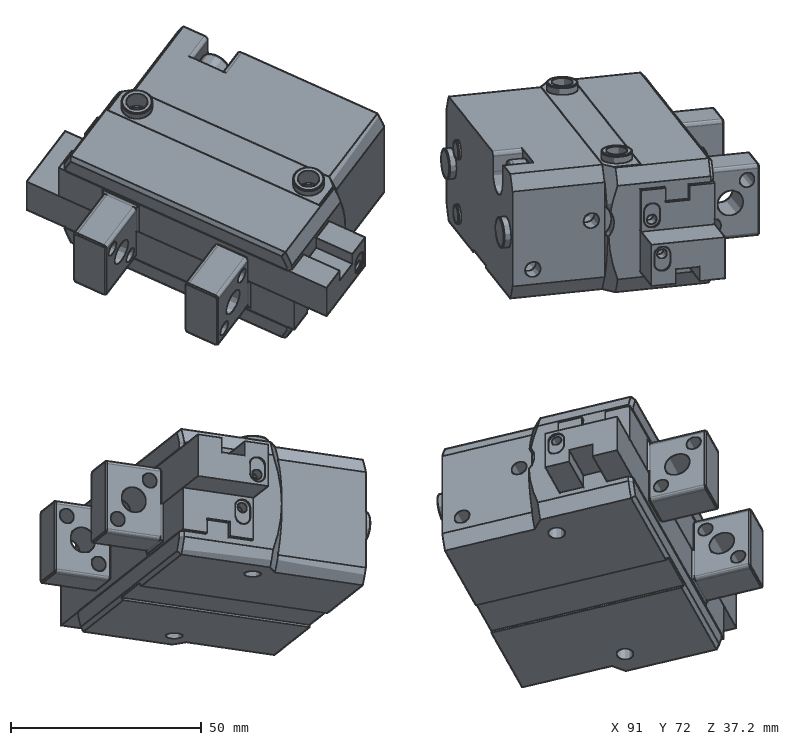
import cadquery as cq
import math


housing_depth = 54.05
half_height = 17.5
front_width = 69.1
rear_width = 63.1
step_y = 28.9
front_turned_radius = 36.95
rear_turned_radius = 34.2
cone_end_y = 29.0
front_chamfer = 1.0
pad_height = 0.1
pad_front_y = 19.3
pad_half_width = 32.4
pad_edge_chamfer = 0.4
bottom_slot_width = 11.8
bottom_slot_depth = 0.6

sleeve_x = 26.0
sleeve_y = 24.1
sleeve_diameter = 8.2
sleeve_bore = 5.55
sleeve_bore_depth = 5.0
sleeve_top_z = 19.7
mounting_hole = 4.4
stud_height = 2.0
rim_chamfer = 0.3
plug_x = 20.0
plug_heights = (6.0, -12.0)
plug_diameter = 5.3
plug_height = 0.8

screw_x = -17.5
screw_z = 12.1
recess_width = 9.1
recess_depth = 8.1
recess_edge_radius = 1.1
screw_head_diameter = 8.55
screw_head_inset = 3.1
screw_head_rounding = 0.7
screw_base_chamfer = 0.5

ports = ((32.6, 2.9), (48.5, -9.1))
port_diameter = 4.2
port_depth = 4.55
passage_diameter = 1.4
passage_depth = 9.1
spot_face_diameter = 10.65
spot_face_rise = 0.2

jaw_long_end = 45.5
jaw_short_end = 35.7
jaw_front_y = 0.2
jaw_back_y = 20.2
jaw_height = 11.6
groove_front_y = 7.0
groove_width = 6.55
groove_depth = 4.0
pocket_y = 17.2
pocket_z = 4.3
pocket_length = 6.7
pocket_width = 4.4
pocket_depth = 0.5
end_hole_z = 3.0
end_hole_diameter = 2.6
end_hole_depth = 3.6

finger_x = 16.9
finger_width = 10.0
finger_height = 20.1
finger_front_y = -15.9
finger_edge_radius = 1.0
finger_tip_chamfer = 0.4
finger_base_chamfer = 0.55
root_radius = 0.55
finger_hole_y = -8.0
finger_hole_diameter = 6.9
dowel_offset_y = 4.55
dowel_offset_z = 6.0
dowel_diameter = 4.0

drill_point_angle = 118.0

UP = (0, 0, 1)
DOWN = (0, 0, -1)
LEFT = (-1, 0, 0)
RIGHT = (1, 0, 0)
BACK = (0, 1, 0)


def box(x_range, y_range, z_range):
    """Block between two limits along each axis."""
    sizes = [high - low for low, high in (x_range, y_range, z_range)]
    corner = (x_range[0], y_range[0], z_range[0])
    return cq.Workplane("XY").box(*sizes, centered=False).translate(corner)


def cylinder(diameter, start, direction, length):
    """Round bar that starts at a point and runs along a direction."""
    solid = cq.Solid.makeCylinder(diameter / 2, length, cq.Vector(*start), cq.Vector(*direction))
    return cq.Workplane("XY").newObject([solid])


def drilled_hole(diameter, depth, start, direction):
    """Cutter for a blind hole with a conical end."""
    radius = diameter / 2
    point_length = radius / math.tan(math.radians(drill_point_angle / 2))
    axis = cq.Vector(*direction)
    tip_base = cq.Vector(*start) + axis * depth
    point = cq.Solid.makeCone(radius, 0, point_length, tip_base, axis)
    return cylinder(diameter, start, direction, depth).union(cq.Workplane("XY").newObject([point]))


def housing_blank():
    """Wide front block and narrower rear block with corners turned about the Y axis."""
    z_range = (-half_height, half_height)
    front = box((-front_width / 2, front_width / 2), (0, step_y), z_range)
    rear = box((-rear_width / 2, rear_width / 2), (0, housing_depth), z_range)
    cone_start_y = cone_end_y - (front_turned_radius - rear_turned_radius)
    turned = (
        cq.Workplane("XY")
        .polyline([
            (0, 0),
            (front_turned_radius, 0),
            (front_turned_radius, cone_start_y),
            (rear_turned_radius, cone_end_y),
            (rear_turned_radius, housing_depth),
            (0, housing_depth),
        ])
        .close()
        .revolve(360, (0, 0, 0), (0, 1, 0))
    )
    blank = front.union(rear).union(sleeve_pad()).intersect(turned)
    return blank.faces("<Y").edges().chamfer(front_chamfer)


def jaw_guide():
    """Cutter for the jaw channel, with a tongue left above and below."""
    x_range = (-jaw_long_end, jaw_long_end)
    guide = box(x_range, (0, jaw_back_y), (-jaw_height, jaw_height))
    tongue_y = (groove_front_y, groove_front_y + groove_width)
    for side in (-1, 1):
        z_range = sorted((side * jaw_height, side * (jaw_height - groove_depth)))
        guide = guide.cut(box(x_range, tongue_y, z_range))
    return guide


def sleeve_pad():
    """Slightly raised strip on top of the housing that carries the sleeves."""
    return box(
        (-pad_half_width, pad_half_width),
        (pad_front_y, step_y),
        (0, half_height + pad_height),
    ).edges("|Y and >Z").chamfer(pad_edge_chamfer)


def round_boss(diameter, start, direction, height):
    """Short round boss with a chamfered rim."""
    radius = diameter / 2
    axis = cq.Vector(*direction)
    base = cylinder(diameter, start, direction, height - rim_chamfer)
    rim_start = cq.Vector(*start) + axis * (height - rim_chamfer)
    rim = cq.Solid.makeCone(radius, radius - rim_chamfer, rim_chamfer, rim_start, axis)
    return base.union(cq.Workplane("XY").newObject([rim]))


def screw_recess():
    """Cutter for the round-bottomed recess, open to the back and the top, with rounded upper edges."""
    half_width = recess_width / 2
    flare = half_width + recess_edge_radius
    flare_z = half_height - recess_edge_radius
    return (
        cq.Workplane("XZ", origin=(screw_x, housing_depth, 0))
        .moveTo(-half_width, screw_z)
        .threePointArc((0, screw_z - half_width), (half_width, screw_z))
        .lineTo(half_width, flare_z)
        .radiusArc((flare, half_height), recess_edge_radius)
        .lineTo(-flare, half_height)
        .radiusArc((-half_width, flare_z), recess_edge_radius)
        .close()
        .extrude(recess_depth)
    )


def screw_head():
    """Screw head on the floor of the recess."""
    length = recess_depth - screw_head_inset
    floor_centre = (screw_x, housing_depth - recess_depth, screw_z)
    head = cylinder(screw_head_diameter, floor_centre, BACK, length)
    head = head.faces(">Y").edges().fillet(screw_head_rounding)
    return head.faces("<Y").edges().chamfer(screw_base_chamfer)


def with_bottom_slot(body):
    """Shallow slot along the underside of the housing."""
    half_width = bottom_slot_width / 2
    slot_top = -half_height + bottom_slot_depth
    return body.cut(box((-half_width, half_width), (0, housing_depth), (-half_height, slot_top)))


def with_sleeves_and_studs(body):
    """Bored sleeves with through holes on top, and studs and plugs on the back."""
    sleeve_height = sleeve_top_z - half_height
    for x in (-sleeve_x, sleeve_x):
        body = body.union(round_boss(sleeve_diameter, (x, sleeve_y, half_height), UP, sleeve_height))
        body = body.cut(cylinder(mounting_hole, (x, sleeve_y, -half_height), UP, half_height + sleeve_top_z))
        body = body.cut(cylinder(sleeve_bore, (x, sleeve_y, sleeve_top_z), DOWN, sleeve_bore_depth))
        body = body.union(round_boss(sleeve_diameter, (x, housing_depth, 0), BACK, stud_height))
    for z in plug_heights:
        body = body.union(round_boss(plug_diameter, (plug_x, housing_depth, z), BACK, plug_height))
    return body


def with_ports(body):
    """Two blind air ports in the -X side; the first has a spot face and a narrow inner passage."""
    side_x = -rear_width / 2
    first_y, first_z = ports[0]
    spot_floor = (side_x - spot_face_rise, first_y, first_z)
    body = body.cut(cylinder(spot_face_diameter, spot_floor, LEFT, front_width))
    for y, z in ports:
        body = body.cut(drilled_hole(port_diameter, port_depth, (side_x, y, z), RIGHT))
    return body.cut(cylinder(passage_diameter, (side_x, first_y, first_z), RIGHT, passage_depth))


def make_housing():
    """Gripper body with its channel, sleeves, studs, screw and ports."""
    body = with_bottom_slot(housing_blank().cut(jaw_guide()))
    body = with_sleeves_and_studs(body)
    body = body.cut(screw_recess()).union(screw_head())
    return with_ports(body)


def make_finger():
    """Finger of the lower jaw, with a root fillet where it crosses the upper jaw."""
    x_left = -finger_x - finger_width / 2
    x_right = -finger_x + finger_width / 2
    z_top = finger_height / 2
    finger = box((x_left, x_right), (finger_front_y, jaw_front_y), (-z_top, z_top))
    finger = finger.edges("|Y").fillet(finger_edge_radius)
    finger = finger.faces("<Y").edges().chamfer(finger_tip_chamfer)
    finger = finger.faces(">Y").edges().chamfer(finger_base_chamfer)

    root_y = jaw_front_y - root_radius
    root = box(
        (x_left - root_radius, x_right + root_radius), (root_y, jaw_front_y), (0, z_top + root_radius)
    )
    fillet_diameter = 2 * root_radius
    for x in (x_left - root_radius, x_right + root_radius):
        root = root.cut(cylinder(fillet_diameter, (x, root_y, 0), UP, finger_height))
    top_start = (x_left - root_radius, root_y, z_top + root_radius)
    root = root.cut(cylinder(fillet_diameter, top_start, RIGHT, 2 * finger_width))
    finger = finger.union(root)

    holes = (
        (finger_hole_diameter, finger_hole_y, 0),
        (dowel_diameter, finger_hole_y - dowel_offset_y, dowel_offset_z),
        (dowel_diameter, finger_hole_y + dowel_offset_y, -dowel_offset_z),
    )
    for diameter, y, z in holes:
        finger = finger.cut(cylinder(diameter, (x_left, y, z), RIGHT, finger_width))
    return finger


def end_pocket(x, inward):
    """Cutter for the shallow slot and the blind hole in one end of the lower jaw."""
    pocket = (
        cq.Workplane("YZ", origin=(x, pocket_y, -pocket_z))
        .slot2D(pocket_length, pocket_width, 90)
        .extrude(inward * pocket_depth)
    )
    hole = drilled_hole(end_hole_diameter, end_hole_depth, (x, pocket_y, -end_hole_z), (inward, 0, 0))
    return pocket.union(hole)


def make_lower_jaw():
    """Jaw bar with its guide groove, end pockets and finger."""
    x_range = (-jaw_long_end, jaw_short_end)
    bar = box(x_range, (jaw_front_y, jaw_back_y), (-jaw_height, 0))
    groove = box(
        x_range, (groove_front_y, groove_front_y + groove_width), (-jaw_height, groove_depth - jaw_height)
    )
    bar = bar.cut(groove)
    bar = bar.cut(end_pocket(-jaw_long_end, 1)).cut(end_pocket(jaw_short_end, -1))
    return bar.union(make_finger())


housing = make_housing()
jaws = [make_lower_jaw().rotate((0, 0, 0), BACK, turn) for turn in (0, 180)]

result = cq.Compound.makeCompound([housing.val(), *[jaw.val() for jaw in jaws]])